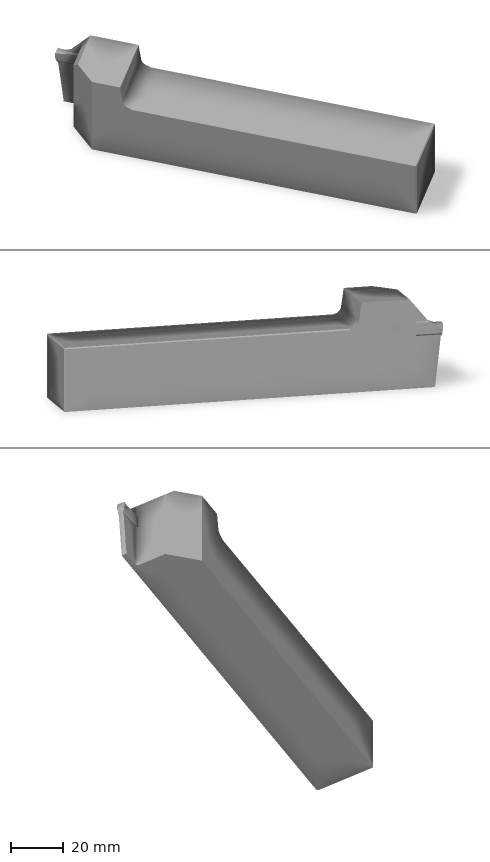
import cadquery as cq
import math

LENGTH = 150.0
SHANK_SIZE = 75 / 3
HEAD_HEIGHT = 35.0
SHANK_EDGE_CHAMFER = 0.5

HEAD_FRONT_X = 10.8
HEAD_TOP_START_X = 13.2
HEAD_TOP_END_X = 32.2
HEAD_BACK_ANGLE = 8.0
HEAD_BACK_RADIUS = 3.3
CORNER_CHAMFER = 10.2

BLADE_THICKNESS = 2.1
BLADE_ROOT_RADIUS = 1.2
BLADE_BOTTOM_X = 3.2
BLADE_NECK = (0.9, 19.6)
BLADE_LIP_X = 0.3

INSERT_LENGTH = 19.5
INSERT_THICKNESS = 2.7
INSERT_BOTTOM_Z = 20.4
INSERT_TOP_Z = 26.2
INSERT_TOP_START_X = 5.8
INSERT_EDGE_WIDTH = 0.5
INSERT_EDGE_HEIGHT = 0.6
TIP_LENGTH = 2.5
TIP_EXTRA = 0.3
TIP_TOP_Z = 24.9
TIP_SIDE_BOTTOM_Z = 23.2
TIP_EDGE_BOTTOM_Z = 22.5
INSERT_RELIEF = 0.3
CHIP_RISE_SAG = 0.3

PICK_MARGIN = 0.2

BACK_Y = SHANK_SIZE
HEAD_FOOT_X = HEAD_TOP_END_X + (HEAD_HEIGHT - SHANK_SIZE) * math.tan(math.radians(HEAD_BACK_ANGLE))
SHANK_TOP_START_X = HEAD_FOOT_X + HEAD_BACK_RADIUS * math.tan(math.radians((90 - HEAD_BACK_ANGLE) / 2))
BLADE_Y = BACK_Y - BLADE_THICKNESS
INSERT_FRONT_Y = BACK_Y - INSERT_THICKNESS


def extrude_along_y(outline, y_start, y_end):
    """Solid from a closed XZ outline, spanning y_start to y_end."""
    return outline.extrude(y_start - y_end).translate((0, y_start, 0))


def make_side_profile():
    """Whole holder seen from the side, filling the full depth."""
    outline = cq.Workplane("XZ").polyline([
        (BLADE_BOTTOM_X, 0),
        (LENGTH, 0),
        (LENGTH, SHANK_SIZE),
        (HEAD_FOOT_X, SHANK_SIZE),
        (HEAD_TOP_END_X, HEAD_HEIGHT),
        (HEAD_TOP_START_X, HEAD_HEIGHT),
        (INSERT_TOP_START_X, INSERT_TOP_Z),
        (HEAD_FRONT_X, INSERT_TOP_Z),
        (HEAD_FRONT_X, INSERT_BOTTOM_Z),
        (BLADE_LIP_X, INSERT_BOTTOM_Z),
        BLADE_NECK,
    ]).close()
    body = extrude_along_y(outline, 0, BACK_Y)
    foot = cq.selectors.BoxSelector(
        (HEAD_FOOT_X - PICK_MARGIN, -PICK_MARGIN, SHANK_SIZE - PICK_MARGIN),
        (HEAD_FOOT_X + PICK_MARGIN, BACK_Y + PICK_MARGIN, SHANK_SIZE + PICK_MARGIN),
    )
    return body.edges(foot).fillet(HEAD_BACK_RADIUS)


def make_plan_limit():
    """Plan outline: thin blade, filleted root, head face and bevelled corner."""
    r = BLADE_ROOT_RADIUS
    arc_offset = r * (1 - math.sqrt(0.5))
    return (
        cq.Workplane("XY")
        .moveTo(0, BACK_Y)
        .lineTo(0, BLADE_Y)
        .lineTo(HEAD_FRONT_X - r, BLADE_Y)
        .threePointArc((HEAD_FRONT_X - arc_offset, BLADE_Y - arc_offset), (HEAD_FRONT_X, BLADE_Y - r))
        .lineTo(HEAD_FRONT_X, CORNER_CHAMFER)
        .lineTo(HEAD_FRONT_X + CORNER_CHAMFER, 0)
        .lineTo(LENGTH, 0)
        .lineTo(LENGTH, BACK_Y)
        .close()
        .extrude(HEAD_HEIGHT)
    )


def chamfer_shank(body):
    """Break the top edges of the shank and the upright edges of its end."""
    body = body.faces(">X").edges("|Z or >Z").chamfer(SHANK_EDGE_CHAMFER)
    c = SHANK_EDGE_CHAMFER
    for edge_y, inward in ((0, 1), (BACK_Y, -1)):
        wedge = cq.Workplane("YZ").polyline([
            (edge_y, SHANK_SIZE),
            (edge_y + inward * c, SHANK_SIZE),
            (edge_y, SHANK_SIZE - c),
        ]).close().extrude(LENGTH - SHANK_TOP_START_X)
        body = body.cut(wedge.translate((SHANK_TOP_START_X, 0, 0)))
    return body


def make_insert_core():
    """Insert body with bevelled long edges and a hollow rise behind each tip."""
    end = INSERT_LENGTH
    rise_mid_x = (TIP_LENGTH + INSERT_TOP_START_X) / 2
    rise_mid_z = (TIP_TOP_Z + INSERT_TOP_Z) / 2 - CHIP_RISE_SAG
    outline = (
        cq.Workplane("XZ")
        .moveTo(INSERT_RELIEF, INSERT_BOTTOM_Z)
        .lineTo(0, TIP_EDGE_BOTTOM_Z)
        .lineTo(0, TIP_TOP_Z)
        .lineTo(TIP_LENGTH, TIP_TOP_Z)
        .threePointArc((rise_mid_x, rise_mid_z), (INSERT_TOP_START_X, INSERT_TOP_Z))
        .lineTo(end - INSERT_TOP_START_X, INSERT_TOP_Z)
        .threePointArc((end - rise_mid_x, rise_mid_z), (end - TIP_LENGTH, TIP_TOP_Z))
        .lineTo(end, TIP_TOP_Z)
        .lineTo(end, TIP_EDGE_BOTTOM_Z)
        .lineTo(end - INSERT_RELIEF, INSERT_BOTTOM_Z)
        .close()
    )
    core = extrude_along_y(outline, INSERT_FRONT_Y, BACK_Y)
    w = INSERT_EDGE_WIDTH
    h = INSERT_EDGE_HEIGHT
    section = cq.Workplane("YZ").polyline([
        (INSERT_FRONT_Y + w, INSERT_BOTTOM_Z),
        (BACK_Y - w, INSERT_BOTTOM_Z),
        (BACK_Y, INSERT_BOTTOM_Z + h),
        (BACK_Y, INSERT_TOP_Z - h),
        (BACK_Y - w, INSERT_TOP_Z),
        (INSERT_FRONT_Y + w, INSERT_TOP_Z),
        (INSERT_FRONT_Y, INSERT_TOP_Z - h),
        (INSERT_FRONT_Y, INSERT_BOTTOM_Z + h),
    ]).close().extrude(end)
    return core.intersect(section)


def make_tip():
    """Cutting tip at X = 0, widest at its edge and tapering back to the core."""
    side = cq.Workplane("XZ").polyline([
        (0, TIP_TOP_Z),
        (TIP_LENGTH, TIP_TOP_Z),
        (TIP_LENGTH, TIP_SIDE_BOTTOM_Z),
        (0, TIP_EDGE_BOTTOM_Z),
    ]).close()
    tip = extrude_along_y(side, INSERT_FRONT_Y - TIP_EXTRA, BACK_Y + TIP_EXTRA)
    plan = cq.Workplane("XY").polyline([
        (0, INSERT_FRONT_Y - TIP_EXTRA),
        (0, BACK_Y + TIP_EXTRA),
        (TIP_LENGTH, BACK_Y),
        (TIP_LENGTH, INSERT_FRONT_Y),
    ]).close().extrude(HEAD_HEIGHT)
    return tip.intersect(plan)


def make_insert():
    """Insert with the same cutting tip at both ends."""
    tip = make_tip()
    rear_tip = tip.mirror("YZ").translate((INSERT_LENGTH, 0, 0))
    return make_insert_core().union(tip).union(rear_tip)


def make_holder(insert):
    """Holder with a seat that fits the insert."""
    body = make_side_profile().intersect(make_plan_limit())
    return chamfer_shank(body).cut(insert)


insert = make_insert()
holder = make_holder(insert)

result = cq.Compound.makeCompound([holder.val(), insert.val()])